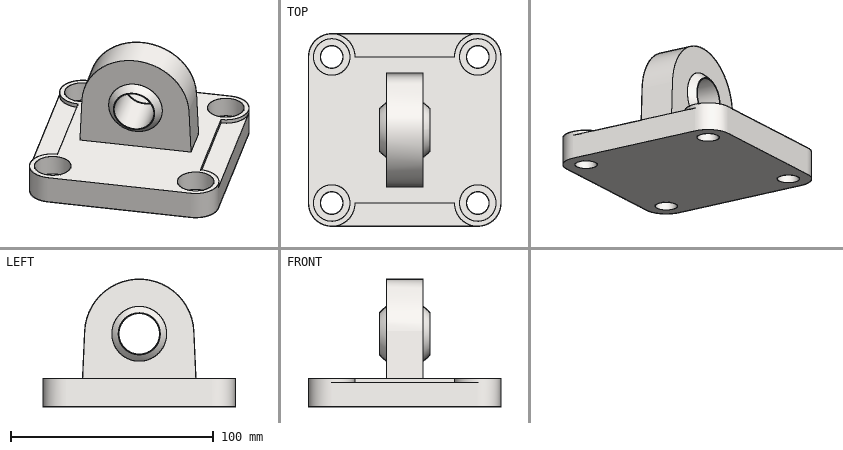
import cadquery as cq
import math

PLATE_SIDE = 95.0
PLATE_THICKNESS = 14.0
BOLT_SPACING = 72.0
BOLT_HOLE_DIAMETER = 11.0
COUNTERBORE_DIAMETER = 18.0
COUNTERBORE_DEPTH = 10.0
EDGE_STEP_DEPTH = 2.0

CORNER_RADIUS = (PLATE_SIDE - BOLT_SPACING) / 2
BOLT_OFFSET = BOLT_SPACING / 2

LUG_THICKNESS = 18.0
LUG_RADIUS = 27.0
LUG_BASE_WIDTH = 56.0
PIVOT_HEIGHT = 36.0

BALL_DIAMETER = 32.5
BALL_WIDTH = 25.0
BORE_DIAMETER = 20.0


def x_cylinder(diameter, length):
    """Cylinder along X, centred on the pivot axis."""
    return (
        cq.Workplane("YZ", origin=(-length / 2, 0, PIVOT_HEIGHT))
        .circle(diameter / 2)
        .extrude(length)
    )


def make_plate():
    """Square plate with rounded vertical corners."""
    return (
        cq.Workplane("XY")
        .rect(PLATE_SIDE, PLATE_SIDE)
        .extrude(PLATE_THICKNESS)
        .edges("|Z")
        .fillet(CORNER_RADIUS)
    )


def make_edge_step(side):
    """Shallow strip to remove along one Y edge, leaving a round land at each bolt."""
    step_floor = cq.Workplane("XY", origin=(0, 0, PLATE_THICKNESS - EDGE_STEP_DEPTH))
    strip_y = side * (BOLT_OFFSET + CORNER_RADIUS / 2)
    strip = step_floor.center(0, strip_y).rect(BOLT_SPACING, CORNER_RADIUS).extrude(EDGE_STEP_DEPTH)
    lands = (
        step_floor.pushPoints([(-BOLT_OFFSET, side * BOLT_OFFSET), (BOLT_OFFSET, side * BOLT_OFFSET)])
        .circle(CORNER_RADIUS)
        .extrude(EDGE_STEP_DEPTH)
    )
    return strip.cut(lands)


def cut_bolt_holes(body):
    """Counterbored through holes on the square bolt pattern."""
    return (
        body.faces(">Z")
        .workplane(origin=(0, 0, PLATE_THICKNESS))
        .rect(BOLT_SPACING, BOLT_SPACING, forConstruction=True)
        .vertices()
        .cboreHole(BOLT_HOLE_DIAMETER, COUNTERBORE_DIAMETER, COUNTERBORE_DEPTH)
    )


def make_lug():
    """Upright lug whose slightly tapered flanks run tangent into the round top."""
    base_half = LUG_BASE_WIDTH / 2
    pivot_rise = PIVOT_HEIGHT - PLATE_THICKNESS
    corner_distance = math.hypot(base_half, pivot_rise)
    tangent_angle = math.acos(LUG_RADIUS / corner_distance) - math.atan2(pivot_rise, base_half)
    tangent_y = LUG_RADIUS * math.cos(tangent_angle)
    tangent_z = PIVOT_HEIGHT + LUG_RADIUS * math.sin(tangent_angle)
    return (
        cq.Workplane("YZ", origin=(-LUG_THICKNESS / 2, 0, 0))
        .moveTo(-base_half, PLATE_THICKNESS)
        .lineTo(base_half, PLATE_THICKNESS)
        .lineTo(tangent_y, tangent_z)
        .threePointArc((0, PIVOT_HEIGHT + LUG_RADIUS), (-tangent_y, tangent_z))
        .close()
        .extrude(LUG_THICKNESS)
    )


def make_ball():
    """Sphere on the pivot axis, cut flat at both ends."""
    ball = cq.Workplane("XY", origin=(0, 0, PIVOT_HEIGHT)).sphere(BALL_DIAMETER / 2)
    return ball.intersect(x_cylinder(BALL_DIAMETER, BALL_WIDTH))


plate = make_plate()
for side in (-1, 1):
    plate = plate.cut(make_edge_step(side))
plate = cut_bolt_holes(plate)

result = plate.union(make_lug()).union(make_ball()).cut(x_cylinder(BORE_DIAMETER, BALL_WIDTH))